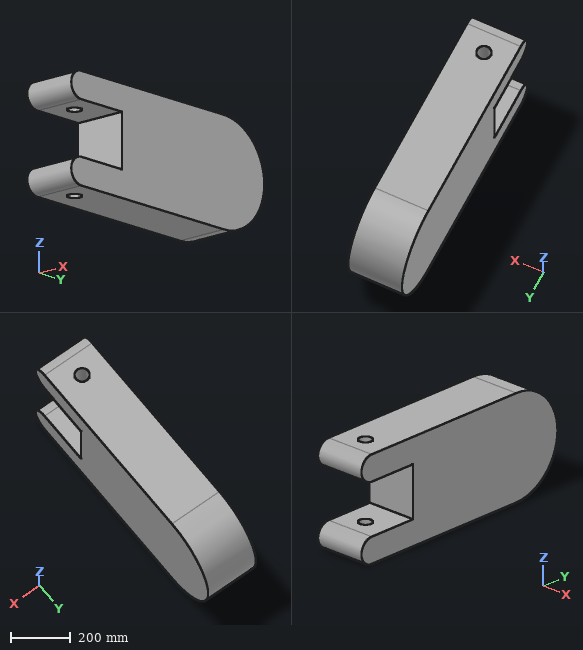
import cadquery as cq

length = 950.0
width = 200.0
height = 400.0
slot_height = 200.0
slot_depth = 250.0
pin_diameter = 50.0

end_radius = height / 2
prong_thickness = (height - slot_height) / 2
tip_radius = prong_thickness / 2
slot_half = slot_height / 2
prong_middle = slot_half + tip_radius
end_center_y = length - end_radius
pin_y = slot_depth / 2


def fork_body():
    """Side outline in the YZ plane, prong tips at Y = 0, extruded evenly about X = 0."""
    return (
        cq.Workplane("YZ")
        .moveTo(end_center_y, -end_radius)
        .threePointArc((length, 0), (end_center_y, end_radius))
        .lineTo(tip_radius, end_radius)
        .threePointArc((0, prong_middle), (tip_radius, slot_half))
        .lineTo(slot_depth, slot_half)
        .lineTo(slot_depth, -slot_half)
        .lineTo(tip_radius, -slot_half)
        .threePointArc((0, -prong_middle), (tip_radius, -end_radius))
        .close()
        .extrude(width / 2, both=True)
    )


def pin_hole():
    """Vertical cylinder that passes through both prongs."""
    return cq.Workplane("XY").center(0, pin_y).circle(pin_diameter / 2).extrude(height / 2, both=True)


result = fork_body().cut(pin_hole())